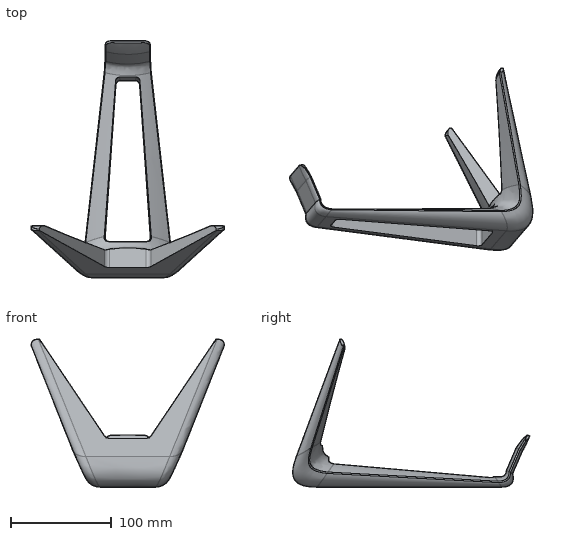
import cadquery as cq
import math


ARM_TIP = (90.8, 101.9, 9.3, 18.0)
ARM_BASE = (41.7, 55.3, 18.4, 30.0)
LEG_FRONT = (27.0, 42.6, 18.6, 33.3)
LEG_REAR = (15.0, 23.4, 7.2, 12.5)
HOOK = (15.0, 22.5, 4.2, 7.2)
LIP_TIP = (15.0, 22.5, 1.9, 2.6)
BEVEL_WIDTH = 0.8
BEVEL_DEPTH = 1.7
ROUND_PULL = 0.5523

ARM_LEAN = 20.4
HOOK_LEAN = 23.3
ARM_BASE_POINT = (3.7, 30.5)
LEG_FRONT_POINT = (24.5, 0.0)
LEG_REAR_POINT = (208.0, 0.0)
HOOK_BASE_POINT = (219.0, 13.5)
ARM_TIP_HEIGHT = 152.0
LIP_BASE_HEIGHT = 36.0
LIP_TIP_HEIGHT = 51.3
LIP_FLARE = 0.8
LIP_FLARE_POWER = 3
LIP_TAPER_POWER = 2.5
LIP_STEPS = 5

ARM_ANGLE = 30.0
LEG_FRONT_ANGLE = 54.5
LEG_REAR_ANGLE = 123.0
HOOK_ANGLE = 153.0

FRONT_BEND_HANDLE_ARM = 20.0
FRONT_BEND_HANDLE_LEG = 26.4
HEEL_HANDLE_POINTS = ((216.0, 0.0), (221.5, 4.0))
FRONT_BULGE = (-2.0, -2.0, 3.5, 8.0)
HEEL_BULGE = (0.0, 0.0, 1.5, 1.5)
BEND_STEPS = 10

TOTAL_HEIGHT = 147.24
ARM_TIP_HALF_WIDTH = 96.18
ARM_TIP_RADIUS = 6.0
ARM_BACK_START = (52.0, 137.0)
ARM_BACK_MIDDLE = (51.3, 143.2)
ARM_BACK_END = (48.9, TOTAL_HEIGHT)
NOTCH_FLOOR = 48.6
NOTCH_HALF_WIDTH = 21.4
NOTCH_WALL_LEAN = 32.2
NOTCH_RADIUS = 5.8
WINDOW_FRONT = 36.2
WINDOW_REAR = 196.0
WINDOW_REAR_RAKE = 0.37
WINDOW_FRONT_HALF_WIDTH = 22.6
WINDOW_REAR_HALF_WIDTH = 11.4
WINDOW_DRAFT = 0.05
WINDOW_RADIUS = 4.0
TOTAL_LENGTH = 235.88
HOOK_CORNER_RADIUS = 7.0
MARGIN = 40.0


def blend(first, second, share):
    return tuple(a + (b - a) * share for a, b in zip(first, second))


def bezier(points, share):
    while len(points) > 1:
        points = [blend(a, b, share) for a, b in zip(points, points[1:])]
    return points[0]


def along_line(start, height, lean):
    """Point of a line through `start` leaning rearward, at the given height."""
    return (start[0] + (height - start[1]) * math.tan(math.radians(lean)), height)


def section(point, angle, sizes):
    """Closed wire with a flat outer face, rounded sides, bevelled edges and crowned inside."""
    crease, edge, edge_depth, crown_depth = sizes
    cosine = math.cos(math.radians(angle))
    sine = math.sin(math.radians(angle))

    def place(x, depth):
        return cq.Vector(x, point[0] + depth * cosine, point[1] + depth * sine)

    side_depth = edge_depth - BEVEL_DEPTH
    inner = edge - BEVEL_WIDTH
    handle_x = crease + ROUND_PULL * (edge - crease)
    handle_depth = side_depth * (1 - ROUND_PULL)
    crown_handle = 2 * crown_depth - edge_depth
    right_side = [(crease, 0), (handle_x, 0), (edge, handle_depth), (edge, side_depth)]
    left_side = [(-x, depth) for x, depth in reversed(right_side)]
    crown = [(inner, edge_depth), (0, crown_handle), (-inner, edge_depth)]
    outlines = [
        [left_side[-1], right_side[0]],
        right_side,
        [right_side[-1], crown[0]],
        crown,
        [crown[-1], left_side[0]],
        left_side,
    ]
    edges = [cq.Edge.makeBezier([place(*spot) for spot in spots]) for spots in outlines]
    return cq.Wire.assembleEdges(edges)


def bend(path, angles, sizes, bulge):
    """Smooth corner whose sections follow a Bezier path and swell half way round."""
    wires = []
    for step in range(BEND_STEPS + 1):
        share = step / BEND_STEPS
        swell = 4 * share * (1 - share)
        swollen = [size + swell * extra for size, extra in zip(blend(*sizes, share), bulge)]
        angle = angles[0] + (angles[1] - angles[0]) * share
        wires.append(section(bezier(path, share), angle, swollen))
    return cq.Workplane(cq.Solid.makeLoft(wires))


def straight(*stations):
    return cq.Workplane(cq.Solid.makeLoft([section(*station) for station in stations], True))


def arms():
    tip_point = along_line(ARM_BASE_POINT, ARM_TIP_HEIGHT, ARM_LEAN)
    return straight(
        (tip_point, ARM_ANGLE, ARM_TIP),
        (ARM_BASE_POINT, ARM_ANGLE, ARM_BASE),
    )


def front_corner():
    arm_handle_height = ARM_BASE_POINT[1] - FRONT_BEND_HANDLE_ARM * math.cos(math.radians(ARM_LEAN))
    path = [
        ARM_BASE_POINT,
        along_line(ARM_BASE_POINT, arm_handle_height, ARM_LEAN),
        (LEG_FRONT_POINT[0] - FRONT_BEND_HANDLE_LEG, 0.0),
        LEG_FRONT_POINT,
    ]
    return bend(path, (ARM_ANGLE, LEG_FRONT_ANGLE), (ARM_BASE, LEG_FRONT), FRONT_BULGE)


def leg():
    return straight(
        (LEG_FRONT_POINT, LEG_FRONT_ANGLE, LEG_FRONT),
        (LEG_REAR_POINT, LEG_REAR_ANGLE, LEG_REAR),
    )


def heel():
    path = [LEG_REAR_POINT, *HEEL_HANDLE_POINTS, HOOK_BASE_POINT]
    return bend(path, (LEG_REAR_ANGLE, HOOK_ANGLE), (LEG_REAR, HOOK), HEEL_BULGE)


def hook():
    """Upright hook ending in a lip that thins along a curve and flares rearward."""
    shank_top = along_line(HOOK_BASE_POINT, LIP_BASE_HEIGHT, HOOK_LEAN)
    shank = straight((HOOK_BASE_POINT, HOOK_ANGLE, HOOK), (shank_top, HOOK_ANGLE, HOOK))
    hook_angle = math.radians(HOOK_ANGLE)
    lip_sections = []
    for step in range(LIP_STEPS + 1):
        share = step / LIP_STEPS
        flare = LIP_FLARE * (1 - (1 - share) ** LIP_FLARE_POWER)
        height = LIP_BASE_HEIGHT + (LIP_TIP_HEIGHT - LIP_BASE_HEIGHT) * share
        outer_y, outer_z = along_line(HOOK_BASE_POINT, height, HOOK_LEAN)
        point = (outer_y - flare * math.cos(hook_angle), outer_z - flare * math.sin(hook_angle))
        lip_sections.append(section(point, HOOK_ANGLE, blend(HOOK, LIP_TIP, share**LIP_TAPER_POWER)))
    lip = cq.Workplane(cq.Solid.makeLoft(lip_sections))
    return shank.union(lip).intersect(hook_tip_envelope())


def hook_tip_envelope():
    """Block leaning with the hook whose rounded upper corners shape the hook tip."""
    length = 2 * MARGIN
    block = cq.Workplane("XY").box(2 * HOOK[1], length, length).edges("|Y and >Z").fillet(HOOK_CORNER_RADIUS)
    return (
        block.translate((0, 0, -length / 2))
        .rotate((0, 0, 0), (1, 0, 0), -HOOK_LEAN)
        .translate((0, *along_line(HOOK_BASE_POINT, LIP_TIP_HEIGHT, HOOK_LEAN)))
    )


def arm_tip_envelope():
    """Block with rounded upper corners that trims the arm tips."""
    height = TOTAL_HEIGHT + MARGIN
    block = cq.Workplane("XY").box(
        2 * ARM_TIP_HALF_WIDTH, TOTAL_LENGTH + 2 * MARGIN, height, centered=(True, False, False)
    )
    return block.edges("|Y and >Z").fillet(ARM_TIP_RADIUS).translate((0, -MARGIN, -MARGIN))


def rounded_outline(plane, offset, corners, radius):
    wire = cq.Workplane(plane).workplane(offset=offset).polyline(corners).close().val()
    return wire.fillet2D(radius, wire.Vertices())


def notch():
    """Open-topped gap between the arms, cut square to their front face."""
    lean = math.radians(ARM_LEAN)
    floor = (0, *along_line(ARM_BASE_POINT, NOTCH_FLOOR, ARM_LEAN))
    face_plane = cq.Plane(origin=floor, xDir=(1, 0, 0), normal=(0, -math.cos(lean), math.sin(lean)))
    top_half_width = NOTCH_HALF_WIDTH + TOTAL_HEIGHT * math.tan(math.radians(NOTCH_WALL_LEAN))
    corners = [
        (-NOTCH_HALF_WIDTH, 0),
        (NOTCH_HALF_WIDTH, 0),
        (top_half_width, TOTAL_HEIGHT),
        (-top_half_width, TOTAL_HEIGHT),
    ]
    outline = rounded_outline(face_plane, 0, corners, NOTCH_RADIUS)
    return cq.Workplane(face_plane).add(outline).toPending().extrude(MARGIN, both=True)


def window():
    """Tapered opening along the leg, with drafted sides and a raked rear wall."""
    def outline(height):
        rear = WINDOW_REAR + height * WINDOW_REAR_RAKE
        front_half = WINDOW_FRONT_HALF_WIDTH + height * WINDOW_DRAFT
        rear_half = WINDOW_REAR_HALF_WIDTH + height * WINDOW_DRAFT
        corners = [
            (-front_half, WINDOW_FRONT),
            (front_half, WINDOW_FRONT),
            (rear_half, rear),
            (-rear_half, rear),
        ]
        return rounded_outline("XY", height, corners, WINDOW_RADIUS)

    return cq.Workplane(cq.Solid.makeLoft([outline(0), outline(MARGIN)], True))


def arm_back_space():
    """Space behind the arm tips that rounds their upper rear edges."""
    return (
        cq.Workplane("YZ")
        .moveTo(*ARM_BACK_START)
        .threePointArc(ARM_BACK_MIDDLE, ARM_BACK_END)
        .lineTo(ARM_BACK_END[0], ARM_BACK_END[1] + MARGIN)
        .lineTo(ARM_BACK_START[0] + MARGIN, ARM_BACK_END[1] + MARGIN)
        .lineTo(ARM_BACK_START[0] + MARGIN, ARM_BACK_START[1])
        .close()
        .extrude(TOTAL_LENGTH, both=True)
    )


body = arms().union(front_corner()).union(leg()).union(heel()).union(hook())
result = body.intersect(arm_tip_envelope()).cut(notch()).cut(window()).cut(arm_back_space())